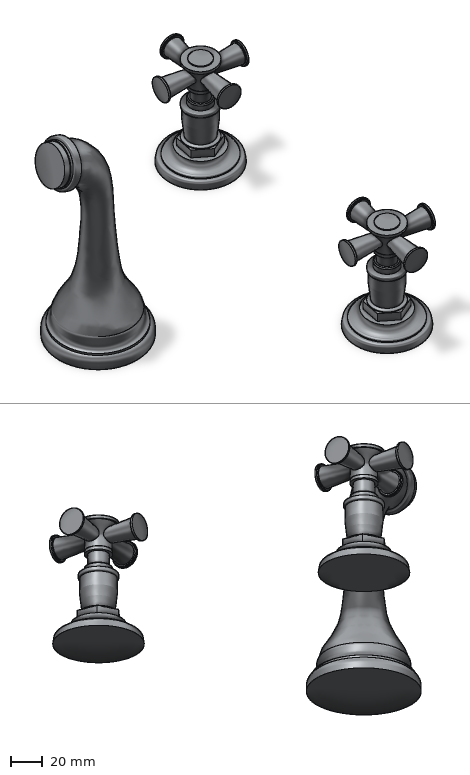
import cadquery as cq
import math

SET_WIDTH = 262.2
ARM_SPAN = 62.5
HANDLE_SPACING = SET_WIDTH - ARM_SPAN
HANDLE_SETBACK = 152.4

PLATE_RADIUS = 28.8
PLATE_EDGE_RADIUS = 28.3
PLATE_EDGE_HEIGHT = 3.1
PLATE_SHOULDER_RADIUS = 25.7
PLATE_SHOULDER_HEIGHT = 5.8
PLATE_RIDGE_RADIUS = 25.0
PLATE_RIDGE_HEIGHT = 6.5
PLATE_STEP_RADIUS = 23.0
PLATE_STEP_HEIGHT = 7.5
PLATE_WAIST_RADIUS = 19.5
PLATE_WAIST_HEIGHT = 9.7
PLATE_TOP_RADIUS = 17.3
PLATE_TOP_HEIGHT = 14.0
PLATE_EDGE_BULGE = 0.8
PLATE_RIDGE_BULGE = 0.3
PLATE_STEP_BULGE = -0.3
PLATE_WAIST_BULGE = -0.5

NUT_ACROSS_FLATS = 26.2
NUT_TOP = 20.2
WASHER_RADIUS = 12.9
WASHER_EDGE_HEIGHT = 20.7
WASHER_TOP = 21.8
WASHER_BULGE = 0.3

BARREL_FOOT_RADIUS = 10.5
BARREL_LOWER_RADIUS = 10.8
BARREL_LOWER_HEIGHT = 24.7
BARREL_MIDDLE_RADIUS = 11.3
BARREL_MIDDLE_HEIGHT = 28.5
BARREL_RADIUS = 12.0
BARREL_BULGE_HEIGHT = 35.7
BARREL_NECK_RADIUS = 11.8
BARREL_NECK_HEIGHT = 44.0
RIM_RADIUS = 12.9
RIM_BOTTOM = 45.0
RIM_TOP = 48.3
RIM_ROUND = 0.8

COLLAR_RADIUS = 9.0
COLLAR_TOP = 53.0
COLLAR_CHAMFER = 0.8
STEM_RADIUS = 6.8

HUB_BOTTOM = 61.5
HUB_BAND_RADIUS = 9.0
HUB_BAND_TOP = 64.0
HUB_RADIUS = 8.7
HUB_FLARE_BOTTOM = 71.5
HUB_FLARE_RADIUS = 11.8
HUB_FLARE_BULGE = -0.3
CAP_RADIUS = 12.9
CAP_BOTTOM = 81.3
CAP_TOP = 83.5
BUTTON_RADIUS = 8.0
HANDLE_HEIGHT = 84.2

ARM_COUNT = 4
ARM_HEIGHT = 73.2
ARM_ROOT_RADIUS = 5.2
ARM_TIP_RADIUS = 7.3
ARM_DISC_RADIUS = 9.0
ARM_DISC_THICKNESS = 1.8
ARM_DISC_BEVEL = 0.5

BASE_RADIUS = 36.2
BASE_EDGE_HEIGHT = 3.5
BASE_SHOULDER_RADIUS = 32.8
BASE_SHOULDER_HEIGHT = 9.0
BASE_COVE_BOTTOM = 10.5
BASE_NECK_RADIUS = 29.6
BASE_COVE_TOP = 14.5
BASE_NECK_TOP = 18.5
FLARE_RADIUS = 28.8
FLARE_BOTTOM = 21.0
BASE_EDGE_BULGE = 1.0
BASE_COVE_BULGE = -0.8
BASE_NECK_BULGE = 0.3

OUTLET_RISE = 15
OUTLET_LEAN = 90 - OUTLET_RISE
OUTLET_FORWARD = 37.5
OUTLET_HEIGHT = 155.0
NOZZLE_RADIUS = 15.0
BEAD_RADIUS = 18.0
BEAD_FRONT = 6.3
BEAD_BACK = 11.8
BEAD_ROUND = 1.3
BEAD_STEP_RADIUS = 15.7
BEAD_STEP_FRONT = 4.5
TUBE_END_RADIUS = 15.5

TUBE_STATIONS = [
    (0, FLARE_BOTTOM, 0, FLARE_RADIUS),
    (0, 37.8, 0, 20.2),
    (0, 53.5, 0, 14.7),
    (0, 69.2, 0, 12.5),
    (0.3, 93.0, 1, 10.8),
    (1.0, 112.8, 8, 10.5),
    (4.0, 127.5, 21, 11.8),
    (12.3, 142.7, 44, 14.2),
    (
        OUTLET_FORWARD - BEAD_BACK * math.sin(math.radians(OUTLET_LEAN)),
        OUTLET_HEIGHT - BEAD_BACK * math.cos(math.radians(OUTLET_LEAN)),
        OUTLET_LEAN,
        TUBE_END_RADIUS,
    ),
]


def bulge_middle(start, end, bulge):
    """Middle point of an arc from start to end, `bulge` to the right of the chord."""
    run = end[0] - start[0]
    rise = end[1] - start[1]
    chord = math.hypot(run, rise)
    return (
        (start[0] + end[0]) / 2 + bulge * rise / chord,
        (start[1] + end[1]) / 2 - bulge * run / chord,
    )


def arc_to(profile, start, end, bulge):
    """Add an arc to a profile; a positive bulge swells away from the axis."""
    return profile.threePointArc(bulge_middle(start, end, bulge), end)


def rounded_ring(profile, radius, bottom, top, corner):
    """Add a ring of the given outer radius with both of its outer corners rounded."""
    return (
        profile.lineTo(radius - corner, bottom)
        .radiusArc((radius, bottom + corner), -corner)
        .lineTo(radius, top - corner)
        .radiusArc((radius - corner, top), -corner)
    )


def spin(profile):
    """Revolve a radius-height profile, already at the axis, about Z."""
    return profile.close().revolve(360, (0, 0, 0), (0, 1, 0))


def make_plate():
    edge = (PLATE_EDGE_RADIUS, PLATE_EDGE_HEIGHT)
    shoulder = (PLATE_SHOULDER_RADIUS, PLATE_SHOULDER_HEIGHT)
    ridge = (PLATE_RIDGE_RADIUS, PLATE_RIDGE_HEIGHT)
    step = (PLATE_STEP_RADIUS, PLATE_STEP_HEIGHT)
    waist = (PLATE_WAIST_RADIUS, PLATE_WAIST_HEIGHT)
    top = (PLATE_TOP_RADIUS, PLATE_TOP_HEIGHT)
    profile = cq.Workplane("XZ").lineTo(PLATE_RADIUS, 0).lineTo(*edge)
    profile = arc_to(profile, edge, shoulder, PLATE_EDGE_BULGE)
    profile = profile.lineTo(PLATE_RIDGE_RADIUS, PLATE_SHOULDER_HEIGHT).lineTo(*ridge)
    profile = arc_to(profile, ridge, step, PLATE_RIDGE_BULGE)
    profile = arc_to(profile, step, waist, PLATE_STEP_BULGE)
    profile = arc_to(profile, waist, top, PLATE_WAIST_BULGE)
    return spin(profile.lineTo(0, PLATE_TOP_HEIGHT))


def make_nut():
    across_corners = NUT_ACROSS_FLATS / math.cos(math.pi / 6)
    return (
        cq.Workplane("XY")
        .workplane(offset=PLATE_TOP_HEIGHT)
        .polygon(6, across_corners)
        .extrude(NUT_TOP - PLATE_TOP_HEIGHT)
    )


def make_barrel():
    washer_edge = (WASHER_RADIUS, WASHER_EDGE_HEIGHT)
    washer_top = (BARREL_FOOT_RADIUS, WASHER_TOP)
    profile = cq.Workplane("XZ").moveTo(0, NUT_TOP).lineTo(WASHER_RADIUS, NUT_TOP).lineTo(*washer_edge)
    profile = arc_to(profile, washer_edge, washer_top, WASHER_BULGE)
    profile = (
        profile.lineTo(BARREL_LOWER_RADIUS, BARREL_LOWER_HEIGHT)
        .lineTo(BARREL_MIDDLE_RADIUS, BARREL_MIDDLE_HEIGHT)
        .lineTo(BARREL_RADIUS, BARREL_BULGE_HEIGHT)
        .lineTo(BARREL_NECK_RADIUS, BARREL_NECK_HEIGHT)
        .lineTo(BARREL_NECK_RADIUS, RIM_BOTTOM)
    )
    profile = rounded_ring(profile, RIM_RADIUS, RIM_BOTTOM, RIM_TOP, RIM_ROUND)
    return spin(profile.lineTo(0, RIM_TOP))


def make_stem():
    profile = (
        cq.Workplane("XZ")
        .moveTo(0, RIM_TOP)
        .lineTo(COLLAR_RADIUS, RIM_TOP)
        .lineTo(COLLAR_RADIUS, COLLAR_TOP - COLLAR_CHAMFER)
        .lineTo(COLLAR_RADIUS - COLLAR_CHAMFER, COLLAR_TOP)
        .lineTo(STEM_RADIUS, COLLAR_TOP)
        .lineTo(STEM_RADIUS, HUB_BOTTOM)
        .lineTo(0, HUB_BOTTOM)
    )
    return spin(profile)


def make_hub():
    flare_bottom = (HUB_RADIUS, HUB_FLARE_BOTTOM)
    flare_top = (HUB_FLARE_RADIUS, CAP_BOTTOM)
    profile = (
        cq.Workplane("XZ")
        .moveTo(0, HUB_BOTTOM)
        .lineTo(HUB_BAND_RADIUS, HUB_BOTTOM)
        .lineTo(HUB_BAND_RADIUS, HUB_BAND_TOP)
        .lineTo(HUB_RADIUS, HUB_BAND_TOP)
        .lineTo(*flare_bottom)
    )
    profile = arc_to(profile, flare_bottom, flare_top, HUB_FLARE_BULGE)
    profile = (
        profile.lineTo(CAP_RADIUS, CAP_BOTTOM)
        .lineTo(CAP_RADIUS, CAP_TOP)
        .lineTo(BUTTON_RADIUS, CAP_TOP)
        .lineTo(BUTTON_RADIUS, HANDLE_HEIGHT)
        .lineTo(0, HANDLE_HEIGHT)
    )
    return spin(profile)


def make_arm():
    """One arm along +X: a cone that widens outwards to a bevelled end disc."""
    tip = ARM_SPAN / 2
    disc_back = tip - ARM_DISC_THICKNESS
    return (
        cq.Workplane("XY")
        .lineTo(0, ARM_ROOT_RADIUS)
        .lineTo(HUB_RADIUS, ARM_ROOT_RADIUS)
        .lineTo(disc_back, ARM_TIP_RADIUS)
        .lineTo(disc_back, ARM_DISC_RADIUS - ARM_DISC_BEVEL)
        .lineTo(disc_back + ARM_DISC_BEVEL, ARM_DISC_RADIUS)
        .lineTo(tip, ARM_DISC_RADIUS)
        .lineTo(tip, 0)
        .close()
        .revolve(360, (0, 0, 0), (1, 0, 0))
        .translate((0, 0, ARM_HEIGHT))
    )


def make_handle():
    """A complete handle standing on the origin."""
    handle = make_plate()
    for section in (make_nut(), make_barrel(), make_stem(), make_hub()):
        handle = handle.union(section)
    arm = make_arm()
    for index in range(ARM_COUNT):
        handle = handle.union(arm.rotate((0, 0, 0), (0, 0, 1), index * 360 / ARM_COUNT))
    return handle


def make_spout_base():
    edge = (BASE_RADIUS, BASE_EDGE_HEIGHT)
    shoulder = (BASE_SHOULDER_RADIUS, BASE_SHOULDER_HEIGHT)
    cove_bottom = (BASE_SHOULDER_RADIUS, BASE_COVE_BOTTOM)
    cove_top = (BASE_NECK_RADIUS, BASE_COVE_TOP)
    neck_top = (BASE_NECK_RADIUS, BASE_NECK_TOP)
    flare = (FLARE_RADIUS, FLARE_BOTTOM)
    profile = cq.Workplane("XZ").lineTo(BASE_RADIUS, 0).lineTo(*edge)
    profile = arc_to(profile, edge, shoulder, BASE_EDGE_BULGE).lineTo(*cove_bottom)
    profile = arc_to(profile, cove_bottom, cove_top, BASE_COVE_BULGE).lineTo(*neck_top)
    profile = arc_to(profile, neck_top, flare, BASE_NECK_BULGE)
    return spin(profile.lineTo(0, FLARE_BOTTOM))


def make_spout_tube():
    """Tube that flares down to the base and bends forward to the outlet."""
    sections = []
    for forward, height, lean, radius in TUBE_STATIONS:
        angle = math.radians(lean)
        centre = cq.Vector(0, -forward, height)
        direction = cq.Vector(0, -math.sin(angle), math.cos(angle))
        plane = cq.Plane(origin=centre, xDir=(1, 0, 0), normal=direction)
        circle = cq.Workplane(plane).circle(radius).wires().val()
        sections.append(circle)
    return cq.Workplane(cq.Solid.makeLoft(sections))


def make_outlet():
    """Nozzle and bead, built along Z below the outlet face and then tilted."""
    profile = cq.Workplane("XZ").moveTo(0, -BEAD_BACK)
    profile = rounded_ring(profile, BEAD_RADIUS, -BEAD_BACK, -BEAD_FRONT, BEAD_ROUND)
    profile = (
        profile.lineTo(BEAD_STEP_RADIUS, -BEAD_FRONT)
        .lineTo(BEAD_STEP_RADIUS, -BEAD_STEP_FRONT)
        .lineTo(NOZZLE_RADIUS, -BEAD_STEP_FRONT)
        .lineTo(NOZZLE_RADIUS, 0)
        .lineTo(0, 0)
    )
    return (
        spin(profile)
        .rotate((0, 0, 0), (1, 0, 0), OUTLET_LEAN)
        .translate((0, -OUTLET_FORWARD, OUTLET_HEIGHT))
    )


def make_spout():
    return make_spout_base().union(make_spout_tube()).union(make_outlet())


spout = make_spout()
handles = cq.Workplane()
for side in (-1, 1):
    handle = make_handle().translate((side * HANDLE_SPACING / 2, HANDLE_SETBACK, 0))
    handles = handles.add(handle.val())

result = cq.Compound.makeCompound([spout.val(), *handles.vals()])